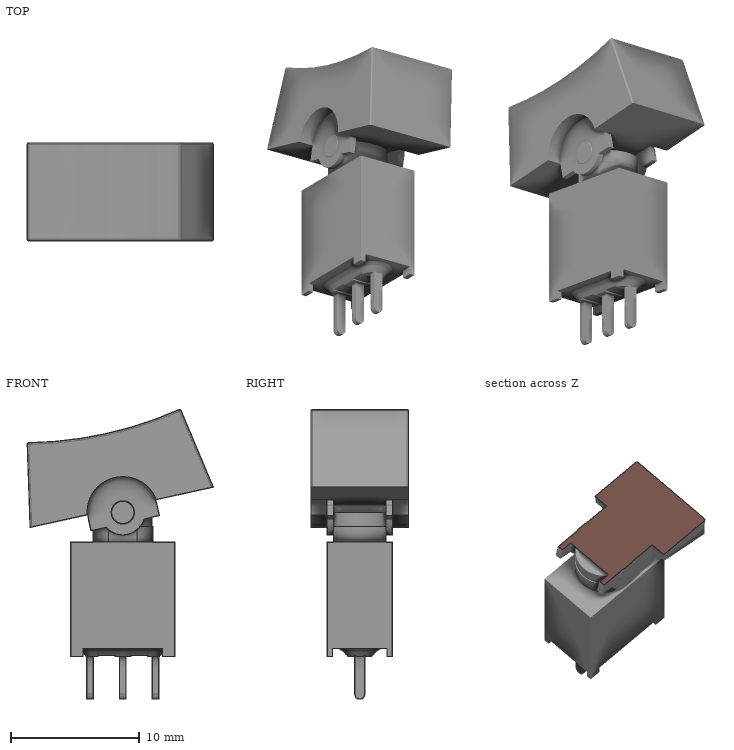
import cadquery as cq

HOUSING_WIDTH = 8.13
HOUSING_DEPTH = 5.08
HOUSING_BOTTOM = 3.32
HOUSING_TOP = 12.23
FOOT_HEIGHT = 0.63
FOOT_WIDTH = 0.97
FOOT_DEPTH = 0.43

TERMINAL_PITCH = 2.55
TERMINAL_THICKNESS = 0.52
TERMINAL_WIDTH = 0.8

SEAL_LENGTH = 5.65
SEAL_WIDTH = 1.75
SEAL_SKIRT_HEIGHT = 0.43
SEAL_SKIRT_SPREAD = 0.4
SEAL_RIM_SPREAD = 0.32
SEAL_TROUGH_WIDTH = 1.3
SEAL_TROUGH_DEPTH = 0.1

BUSHING_DIAMETER = 4.67
BUSHING_TIP_DIAMETER = 4.55
BUSHING_FLATS = 4.1
BUSHING_STEP_HEIGHT = 13.47

PIVOT_HEIGHT = 14.55
TILT = 12.4
ROCKER_DEPTH = 7.63
ROCKER_BOTTOM_LENGTH = 14.63
ROCKER_TOP_LENGTH = 12.23
ROCKER_BOTTOM = 0.4
ROCKER_CORNER = 6.9
ROCKER_DIP = 0.63
EDGE_ROUND = 0.14
ARCH_DIAMETER = 5.57

HUB_SPAN = HOUSING_DEPTH
HUB_WIDTH = 5.46
HUB_SHOULDER = 0.85
HUB_BOSS_DIAMETER = 3.5
PIN_DIAMETER = 1.8
PIN_PROTRUSION = 0.05
PIN_CHAMFER = 0.034

SEAL_TOP = HOUSING_BOTTOM + FOOT_HEIGHT


def box_between(width, depth, bottom, top):
    """Box centred on the Z axis between two heights."""
    return cq.Workplane("XY", origin=(0, 0, bottom)).box(
        width, depth, top - bottom, centered=(True, True, False)
    )


def slab(outline, depth):
    """Extrude an XZ outline symmetrically along Y."""
    return outline.extrude(depth / 2, both=True)


def make_housing():
    housing = box_between(HOUSING_WIDTH, HOUSING_DEPTH, HOUSING_BOTTOM, HOUSING_TOP)
    front_gap = box_between(HOUSING_WIDTH - 2 * FOOT_WIDTH, HOUSING_DEPTH, HOUSING_BOTTOM, SEAL_TOP)
    side_gap = box_between(HOUSING_WIDTH, HOUSING_DEPTH - 2 * FOOT_DEPTH, HOUSING_BOTTOM, SEAL_TOP)
    return housing.cut(front_gap).cut(side_gap)


def flare(bottom, top, lower_size, upper_size):
    """Loft between two round-ended slots, each given as (length, width)."""
    return (
        cq.Workplane("XY", origin=(0, 0, bottom))
        .slot2D(*lower_size)
        .workplane(offset=top - bottom)
        .slot2D(*upper_size)
        .loft(ruled=True)
    )


def make_seal():
    rim_bottom = HOUSING_BOTTOM + SEAL_SKIRT_HEIGHT
    waist_length = SEAL_LENGTH + 2 * SEAL_SKIRT_SPREAD
    waist_width = SEAL_WIDTH + 2 * SEAL_SKIRT_SPREAD
    rim_length = waist_length + 2 * SEAL_RIM_SPREAD
    rim_width = waist_width + 2 * SEAL_RIM_SPREAD

    skirt = flare(HOUSING_BOTTOM, rim_bottom, (SEAL_LENGTH, SEAL_WIDTH), (waist_length, waist_width))
    rim = flare(rim_bottom, SEAL_TOP, (waist_length, waist_width), (rim_length, rim_width))
    seal = skirt.union(rim)
    trough = box_between(
        SEAL_TROUGH_WIDTH, HOUSING_DEPTH, HOUSING_BOTTOM, HOUSING_BOTTOM + SEAL_TROUGH_DEPTH
    )
    for side in (-1, 1):
        seal = seal.cut(trough.translate((side * TERMINAL_PITCH / 2, 0, 0)))
    return seal


def make_terminal(x):
    tip_radius = TERMINAL_WIDTH / 2
    return (
        cq.Workplane("YZ", origin=(x, 0, 0))
        .moveTo(-tip_radius, SEAL_TOP)
        .lineTo(-tip_radius, tip_radius)
        .threePointArc((0, 0), (tip_radius, tip_radius))
        .lineTo(tip_radius, SEAL_TOP)
        .close()
        .extrude(TERMINAL_THICKNESS / 2, both=True)
    )


def make_bushing():
    step = BUSHING_STEP_HEIGHT - HOUSING_TOP
    tip = PIVOT_HEIGHT - BUSHING_STEP_HEIGHT
    post = (
        cq.Workplane("XY", origin=(0, 0, HOUSING_TOP))
        .circle(BUSHING_DIAMETER / 2)
        .extrude(step)
        .faces(">Z")
        .workplane()
        .circle(BUSHING_TIP_DIAMETER / 2)
        .extrude(tip)
    )
    flats = box_between(BUSHING_DIAMETER, BUSHING_FLATS, HOUSING_TOP, PIVOT_HEIGHT)
    return post.intersect(flats)


def make_rocker_body():
    bottom_half = ROCKER_BOTTOM_LENGTH / 2
    top_half = ROCKER_TOP_LENGTH / 2
    outline = (
        cq.Workplane("XZ")
        .moveTo(-bottom_half, ROCKER_BOTTOM)
        .lineTo(bottom_half, ROCKER_BOTTOM)
        .lineTo(top_half, ROCKER_CORNER)
        .threePointArc((0, ROCKER_CORNER - ROCKER_DIP), (-top_half, ROCKER_CORNER))
        .close()
    )
    body = slab(outline, ROCKER_DEPTH)
    body = body.edges("not <Z").fillet(EDGE_ROUND)
    arch = slab(cq.Workplane("XZ").circle(ARCH_DIAMETER / 2), ROCKER_DEPTH)
    core = slab(cq.Workplane("XZ").circle(ARCH_DIAMETER / 2), HUB_SPAN)
    return body.cut(arch.cut(core))


def make_hub():
    half = HUB_WIDTH / 2
    outline = (
        cq.Workplane("XZ")
        .moveTo(-half, -HUB_SHOULDER)
        .lineTo(half, -HUB_SHOULDER)
        .lineTo(half, 0)
        .threePointArc((0, half), (-half, 0))
        .close()
    )
    hub = slab(outline, HUB_SPAN)
    hub = hub.union(slab(cq.Workplane("XZ").circle(HUB_BOSS_DIAMETER / 2), HUB_SPAN))
    gap = box_between(HUB_WIDTH, BUSHING_FLATS, -HUB_BOSS_DIAMETER / 2, ROCKER_BOTTOM)
    hub = hub.cut(gap)
    pin = slab(cq.Workplane("XZ").circle(PIN_DIAMETER / 2), HUB_SPAN + 2 * PIN_PROTRUSION)
    return hub.union(pin.faces("<Y or >Y").chamfer(PIN_CHAMFER))


rocker = (
    make_rocker_body()
    .union(make_hub())
    .rotate((0, 0, 0), (0, 1, 0), -TILT)
    .translate((0, 0, PIVOT_HEIGHT))
)

result = make_housing().union(make_seal()).union(make_bushing()).union(rocker)
for position in (-1, 0, 1):
    result = result.union(make_terminal(position * TERMINAL_PITCH))